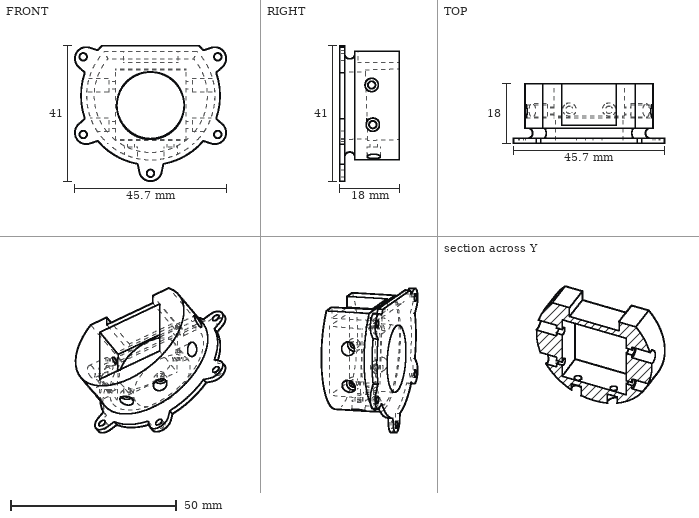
import cadquery as cq
import math


overall_width = 45.7
overall_height = 40.95

flange_radius = 21.0
flange_thickness = 1.55

ear_angles = [30, 150, 210, 270, 330]
ear_hole_circle_radius = 23.45
ear_hole_diameter = 2.2
ear_tip_radius = 3.45
ear_taper_angle = 11.6
ear_base_radius = 18.25
upper_ear_angle = math.radians(ear_angles[0])
ear_tip_center = (overall_width / 2 - ear_tip_radius) / math.cos(upper_ear_angle)
ear_reach = ear_tip_center + ear_tip_radius
flange_flat_z = overall_height - ear_reach

total_depth = 18.0
body_front_y = 4.5
body_radius = 19.35
body_flat_z = 13.45
neck_inset = 2.3
neck_fillet = 1.32

slot_width = 16.4
slot_depth = 3.35
slot_front_y = 5.4

tilt_angle = 1.7
recess_axis_z = -3.05
bore_diameter = 20.3
cavity_front_y = 8.05
cavity_size = 21.3
screw_y = 9.8
screw_spacing = 11.95
screw_hole_diameter = 2.2
screw_head_diameter = 4.0
screw_seat_thickness = 2.0

match_tolerance = 0.005
overrun = 2.3


def flat_topped_disc(radius, flat_z, front_y, back_y):
    """Disc around the Y axis, cut flat at flat_z."""
    half_flat = math.sqrt(radius**2 - flat_z**2)
    return (
        cq.Workplane("XZ", origin=(0, front_y, 0))
        .moveTo(-half_flat, flat_z)
        .threePointArc((0, -radius), (half_flat, flat_z))
        .close()
        .extrude(front_y - back_y)
    )


def ear(angle):
    """Tapered ear with a round tip, pointing outward at the given angle in XZ."""
    taper = math.radians(ear_taper_angle)
    tangent_r = ear_tip_center + ear_tip_radius * math.sin(taper)
    tangent_half_width = ear_tip_radius * math.cos(taper)
    base_half_width = tangent_half_width + (tangent_r - ear_base_radius) * math.tan(taper)
    blank = (
        cq.Workplane("XZ")
        .moveTo(ear_base_radius, -base_half_width)
        .lineTo(tangent_r, -tangent_half_width)
        .threePointArc((ear_reach, 0), (tangent_r, tangent_half_width))
        .lineTo(ear_base_radius, base_half_width)
        .close()
        .extrude(-flange_thickness)
    )
    return blank.rotate((0, 0, 0), (0, 1, 0), -angle)


def flange():
    """Front plate with its ears and ear holes."""
    plate = flat_topped_disc(flange_radius, flange_flat_z, 0, flange_thickness)
    for angle in ear_angles:
        plate = plate.union(ear(angle))
    hole_centers = [
        (
            ear_hole_circle_radius * math.cos(math.radians(angle)),
            ear_hole_circle_radius * math.sin(math.radians(angle)),
        )
        for angle in ear_angles
    ]
    holes = (
        cq.Workplane("XZ")
        .pushPoints(hole_centers)
        .circle(ear_hole_diameter / 2)
        .extrude(-flange_thickness)
    )
    return plate.cut(holes)


def body_with_neck():
    """Body and neck over a flange-sized disc, so both neck ends can be filleted."""
    neck = flat_topped_disc(
        body_radius - neck_inset, body_flat_z - neck_inset, flange_thickness, body_front_y
    )
    neck_ends = neck.faces("<Y or >Y").edges().vals()
    disc = flat_topped_disc(flange_radius, flange_flat_z, 0, flange_thickness)
    body = flat_topped_disc(body_radius, body_flat_z, body_front_y, total_depth)
    joined = disc.union(neck).union(body)
    end_centers = [edge.Center() for edge in neck_ends]
    neck_edges = [
        edge
        for edge in joined.edges().vals()
        if any((edge.Center() - center).Length < match_tolerance for center in end_centers)
    ]
    return joined.newObject(neck_edges).fillet(neck_fillet)


def slot():
    """Cutter for the slot in the flat top."""
    length = total_depth - slot_front_y + overrun
    height = slot_depth + overrun
    return (
        cq.Workplane("XY", origin=(0, slot_front_y, body_flat_z - slot_depth))
        .box(slot_width, length, height, centered=(True, False, False))
    )


def screw_hole(start, direction):
    """Screw hole running outward from the cavity, widened beyond the head seat."""
    seat_distance = cavity_size / 2 + screw_seat_thickness
    seat = start + direction * seat_distance
    shank = cq.Solid.makeCylinder(screw_hole_diameter / 2, seat_distance, start, direction)
    head = cq.Solid.makeCylinder(screw_head_diameter / 2, body_radius, seat, direction)
    return cq.Workplane(obj=shank.fuse(head))


def recess():
    """Bore, square cavity open at the back and screw holes, tilted as one cutter."""
    bore = (
        cq.Workplane("XZ", origin=(0, -overrun, 0))
        .circle(bore_diameter / 2)
        .extrude(-(cavity_front_y + overrun))
    )
    cavity = (
        cq.Workplane("XZ", origin=(0, cavity_front_y, 0))
        .rect(cavity_size, cavity_size)
        .extrude(-total_depth)
    )
    cutter = bore.union(cavity)
    left = cq.Vector(-1, 0, 0)
    right = cq.Vector(1, 0, 0)
    down = cq.Vector(0, 0, -1)
    for offset in (-screw_spacing / 2, screw_spacing / 2):
        cutter = cutter.union(screw_hole(cq.Vector(0, screw_y, offset), left))
        cutter = cutter.union(screw_hole(cq.Vector(0, screw_y, offset), right))
        cutter = cutter.union(screw_hole(cq.Vector(offset, screw_y, 0), down))
    return cutter.rotate((0, 0, 0), (1, 0, 0), tilt_angle).translate((0, 0, recess_axis_z))


result = flange().union(body_with_neck()).cut(slot()).cut(recess())